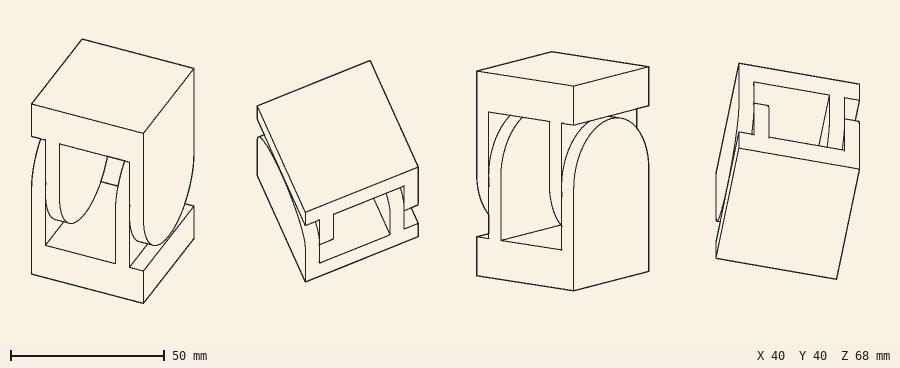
import cadquery as cq

height = 68.0
width = 40.0
block_height = 13.0

plate_thickness = width / 8
end_radius = width / 2
pivot_z = height / 2


def block(bottom_z):
    """Square end block standing on the given level."""
    return cq.Workplane("XY").workplane(offset=bottom_z).rect(width, width).extrude(block_height)


def plate(left_x, root_z, arc_direction):
    """Plate from root_z to the pivot level, ending in a half disc (+1 up, -1 down)."""
    return (
        cq.Workplane("YZ")
        .workplane(offset=left_x)
        .moveTo(-end_radius, root_z)
        .lineTo(-end_radius, pivot_z)
        .threePointArc((0, pivot_z + arc_direction * end_radius), (end_radius, pivot_z))
        .lineTo(end_radius, root_z)
        .close()
        .extrude(plate_thickness)
    )


lower_fork = block(0)
for left_x in (-width / 2, width / 2 - 2 * plate_thickness):
    lower_fork = lower_fork.union(plate(left_x, 0, 1))

upper_fork = block(height - block_height)
for left_x in (-width / 2 + plate_thickness, width / 2 - plate_thickness):
    upper_fork = upper_fork.union(plate(left_x, height, -1))

result = lower_fork.union(upper_fork)